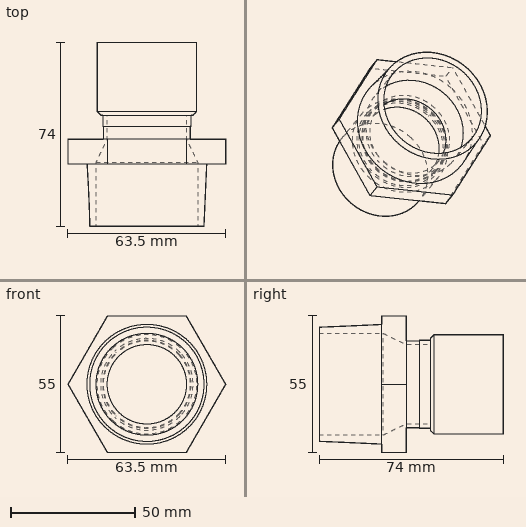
import cadquery as cq
import math

total_length = 74.0
hex_across_flats = 55.0
hex_thickness = 10.0

taper_length = 25.0
taper_front_diameter = 46.0
taper_back_diameter = 48.25

inner_neck_diameter = 35.0
inner_neck_length = 5.2
outer_neck_diameter = 35.5
outer_neck_length = 4.45
spigot_diameter = 40.0
spigot_chamfer = 1.5

bore_diameter = 41.0
bore_depth = 25.7
small_bore_diameter = 32.0

front_y = -total_length / 2
hex_front_y = front_y + taper_length
hex_back_y = hex_front_y + hex_thickness
neck_step_y = hex_back_y + inner_neck_length
spigot_front_y = neck_step_y + outer_neck_length
rear_y = total_length / 2
bore_cone_y = front_y + bore_depth
small_bore_y = hex_back_y
bore_floor_y = spigot_front_y


def revolve_about_y(outline):
    """Revolve a closed outline of (radius, y) points around the Y axis."""
    return cq.Workplane("XY").polyline(outline).close().revolve(360, (0, 0, 0), (0, 1, 0))


def make_body():
    """Round outside: tapered front end, stepped neck and chamfered spigot."""
    inner_neck_radius = inner_neck_diameter / 2
    outer_neck_radius = outer_neck_diameter / 2
    spigot_radius = spigot_diameter / 2
    return revolve_about_y([
        (0, front_y),
        (taper_front_diameter / 2, front_y),
        (taper_back_diameter / 2, hex_front_y),
        (taper_back_diameter / 2, hex_back_y),
        (inner_neck_radius, hex_back_y),
        (inner_neck_radius, neck_step_y),
        (outer_neck_radius, neck_step_y),
        (outer_neck_radius, spigot_front_y),
        (spigot_radius - spigot_chamfer, spigot_front_y),
        (spigot_radius, spigot_front_y + spigot_chamfer),
        (spigot_radius, rear_y),
        (0, rear_y),
    ])


def make_hex():
    """Hexagonal wrench collar with corners on the X axis."""
    across_corners = hex_across_flats / math.cos(math.radians(30))
    return (
        cq.Workplane("XZ", origin=(0, hex_back_y, 0))
        .polygon(6, across_corners)
        .extrude(hex_thickness)
    )


def make_bore():
    """Wide bore, conical reduction and narrow blind bore."""
    return revolve_about_y([
        (0, front_y),
        (bore_diameter / 2, front_y),
        (bore_diameter / 2, bore_cone_y),
        (small_bore_diameter / 2, small_bore_y),
        (small_bore_diameter / 2, bore_floor_y),
        (0, bore_floor_y),
    ])


result = make_body().union(make_hex()).cut(make_bore())